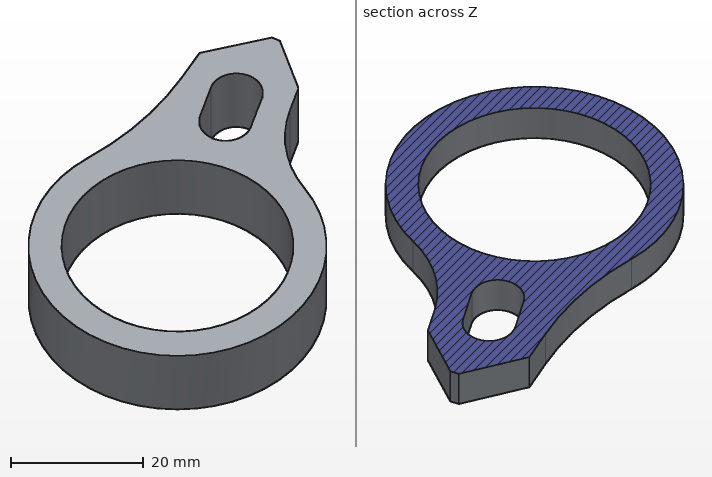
import cadquery as cq
import math

thickness = 12.0
ring_outer_radius = 22.5
ring_bore_radius = 17.5

lug_left_x = -36.98
lug_top_y = 26.5
lug_corner_chamfer = 1.0
lug_top_end_x = -25.95
lug_left_end_y = 14.16

slot_axis_angle = 148.0
upper_flank_angle = slot_axis_angle - 180.0
lower_flank_angle = -44.3
upper_blend_radius = 20.0
lower_blend_radius = 50.0

slot_centre_distance = 29.5
slot_width = 8.0
slot_straight_length = 6.0


def polar(radius, angle):
    """Vector of the given length at an angle in degrees."""
    return cq.Vector(radius * math.cos(math.radians(angle)), radius * math.sin(math.radians(angle)))


def flank_blend(corner, flank_angle, blend_radius, side):
    """Arc tangent to a straight flank and to the outside of the ring.

    The flank leaves the corner at flank_angle. The side is +1 when open space
    lies to the left of that direction and -1 when it lies to the right.
    Returns the tangent point on the flank, the arc midpoint and the tangent point on the ring.
    """
    along = polar(1, flank_angle)
    outward = polar(1, flank_angle + side * 90)
    centre_height = corner.dot(outward) + blend_radius
    centre_distance = ring_outer_radius + blend_radius
    centre_setback = math.sqrt(centre_distance**2 - centre_height**2)
    centre = outward * centre_height - along * centre_setback

    to_flank = outward * -1
    to_ring = centre.normalized() * -1
    to_middle = (to_flank + to_ring).normalized()
    return [centre + direction * blend_radius for direction in (to_flank, to_middle, to_ring)]


def make_body():
    """Solid plate with the outline of the ring and the lug."""
    top_end = cq.Vector(lug_top_end_x, lug_top_y)
    left_end = cq.Vector(lug_left_x, lug_left_end_y)
    upper_start, upper_middle, upper_end = flank_blend(
        top_end, upper_flank_angle, upper_blend_radius, side=1
    )
    lower_start, lower_middle, lower_end = flank_blend(
        left_end, lower_flank_angle, lower_blend_radius, side=-1
    )
    ring_far_point = polar(ring_outer_radius, upper_flank_angle)

    return (
        cq.Workplane("XY")
        .moveTo(lug_left_x, lug_top_y - lug_corner_chamfer)
        .lineTo(lug_left_x + lug_corner_chamfer, lug_top_y)
        .lineTo(top_end.x, top_end.y)
        .lineTo(upper_start.x, upper_start.y)
        .threePointArc(upper_middle, upper_end)
        .threePointArc(ring_far_point, lower_end)
        .threePointArc(lower_middle, lower_start)
        .lineTo(left_end.x, left_end.y)
        .close()
        .extrude(thickness)
    )


def make_bore():
    return cq.Workplane("XY").circle(ring_bore_radius).extrude(thickness)


def make_slot():
    """Round-ended slot lying on a radial line from the ring centre."""
    slot_centre = polar(slot_centre_distance, slot_axis_angle)
    return (
        cq.Workplane("XY")
        .center(slot_centre.x, slot_centre.y)
        .slot2D(slot_straight_length + slot_width, slot_width, slot_axis_angle)
        .extrude(thickness)
    )


result = make_body().cut(make_bore()).cut(make_slot())